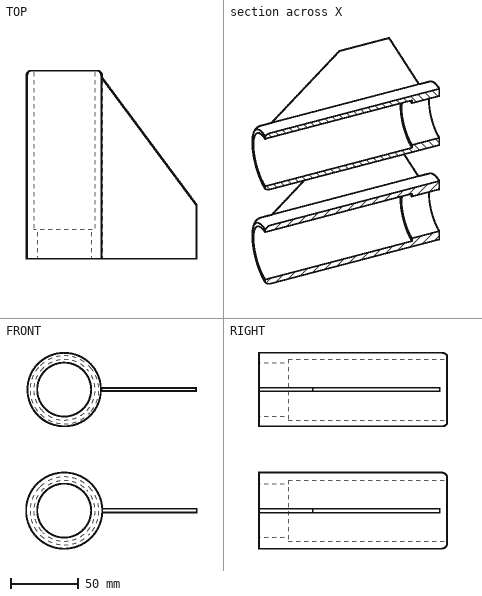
import cadquery as cq
import math

total_height = 145.9
tube_length = 140.0
lower_diameter = 56.9
upper_diameter = 54.9
bore_diameter = 40.0
cavity_diameter = 45.4
collar_depth = 22.0
rear_face_diameter = 50.9
rear_round_radius = 5.0

lower_axis_z = lower_diameter / 2
upper_axis_z = total_height - upper_diameter / 2

plate_width = 70.3
plate_root_length = 134.7
plate_tip_length = 40.0
lower_plate_thickness = 3.0
upper_plate_thickness = 2.5
upper_plate_gap = 0.5


def make_tube(outer_diameter, axis_z):
    """Tube with a thick front collar, a wider cavity behind it and a rounded rear edge."""
    outer_radius = outer_diameter / 2
    bore_radius = bore_diameter / 2
    cavity_radius = cavity_diameter / 2
    rear_radius = rear_face_diameter / 2

    arc_center_x = outer_radius - rear_round_radius
    round_length = math.sqrt(rear_round_radius**2 - (rear_radius - arc_center_x) ** 2)
    round_start_y = tube_length - round_length
    half_angle = math.asin(round_length / rear_round_radius) / 2
    arc_middle = (
        arc_center_x + rear_round_radius * math.cos(half_angle),
        round_start_y + rear_round_radius * math.sin(half_angle),
    )

    return (
        cq.Workplane("XY")
        .moveTo(bore_radius, 0)
        .lineTo(outer_radius, 0)
        .lineTo(outer_radius, round_start_y)
        .threePointArc(arc_middle, (rear_radius, tube_length))
        .lineTo(cavity_radius, tube_length)
        .lineTo(cavity_radius, collar_depth)
        .lineTo(bore_radius, collar_depth)
        .close()
        .revolve(360, (0, 0, 0), (0, 1, 0))
        .translate((0, 0, axis_z))
    )


def make_plate(root_x, thickness, axis_z):
    """Flat plate with a slanted rear edge, standing beside a tube."""
    tip_x = root_x + plate_width
    return (
        cq.Workplane("XY", origin=(0, 0, axis_z - thickness / 2))
        .moveTo(root_x, 0)
        .lineTo(tip_x, 0)
        .lineTo(tip_x, plate_tip_length)
        .lineTo(root_x, plate_root_length)
        .close()
        .extrude(thickness)
    )


lower_tube = make_tube(lower_diameter, lower_axis_z)
upper_tube = make_tube(upper_diameter, upper_axis_z)

lower_plate = make_plate(lower_diameter / 2, lower_plate_thickness, lower_axis_z)
upper_plate = make_plate(
    upper_diameter / 2 + upper_plate_gap, upper_plate_thickness, upper_axis_z
)

result = cq.Compound.makeCompound(
    [lower_tube.val(), upper_tube.val(), lower_plate.val(), upper_plate.val()]
)